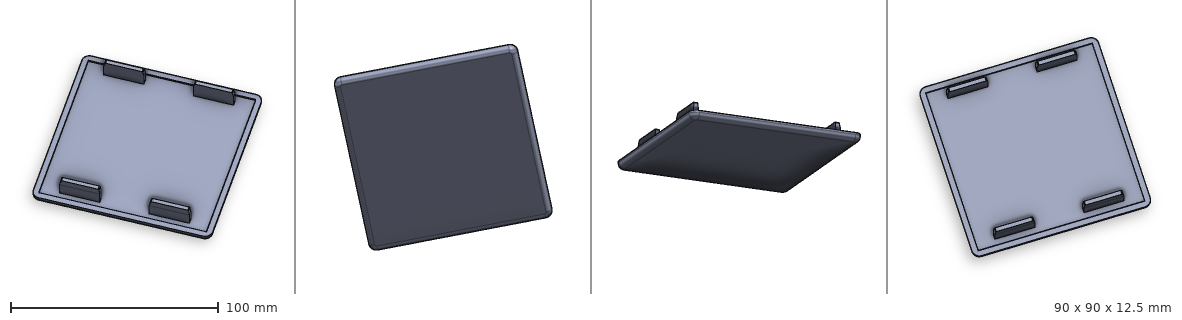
import cadquery as cq

side = 90.0
plate_height = 4.0
corner_radius = 3.8
bottom_radius = 3.0

rim_width = 3.0
recess_depth = 0.9
recess_side = side - 2 * rim_width
floor_z = plate_height - recess_depth

total_height = 12.5
tab_length = 20.2
tab_thickness = 2.4
tab_spacing = 45.0
tab_inner_y = 36.3
taper_start_z = 9.5
side_taper_inset = 0.4
end_taper_inset = 0.45
tip_chamfer = 0.45


def make_plate():
    """Plate with rounded corners, a rounded bottom edge and the recess."""
    plate = cq.Workplane("XY").rect(side, side).extrude(plate_height)
    plate = plate.edges("|Z").fillet(corner_radius)
    plate = plate.faces("<Z").edges().fillet(bottom_radius)
    recess = (
        cq.Workplane("XY")
        .workplane(offset=floor_z)
        .rect(recess_side, recess_side)
        .extrude(recess_depth)
    )
    return plate.cut(recess)


def make_tab():
    """Tab on the +Y side, centred on X = 0, with a flat inner face.

    Its ends and outer face lean in above the taper start, and the two
    short top edges are chamfered.
    """
    tab_outer_y = tab_inner_y + tab_thickness
    half_length = tab_length / 2
    tip_half_length = half_length - end_taper_inset
    end_outline = [
        (tab_inner_y, floor_z),
        (tab_outer_y, floor_z),
        (tab_outer_y, taper_start_z),
        (tab_outer_y - side_taper_inset, total_height),
        (tab_inner_y, total_height),
    ]
    front_outline = [
        (-half_length, floor_z),
        (half_length, floor_z),
        (half_length, taper_start_z),
        (tip_half_length, total_height - tip_chamfer),
        (tip_half_length - tip_chamfer, total_height),
        (-tip_half_length + tip_chamfer, total_height),
        (-tip_half_length, total_height - tip_chamfer),
        (-half_length, taper_start_z),
    ]
    tab = cq.Workplane("YZ").polyline(end_outline).close().extrude(half_length, both=True)
    front_prism = cq.Workplane("XZ").polyline(front_outline).close().extrude(side, both=True)
    return tab.intersect(front_prism)


result = make_plate()
back_tab = make_tab()
front_tab = back_tab.mirror("XZ")
for tab_x in (-tab_spacing / 2, tab_spacing / 2):
    for tab in (back_tab, front_tab):
        result = result.union(tab.translate((tab_x, 0, 0)))